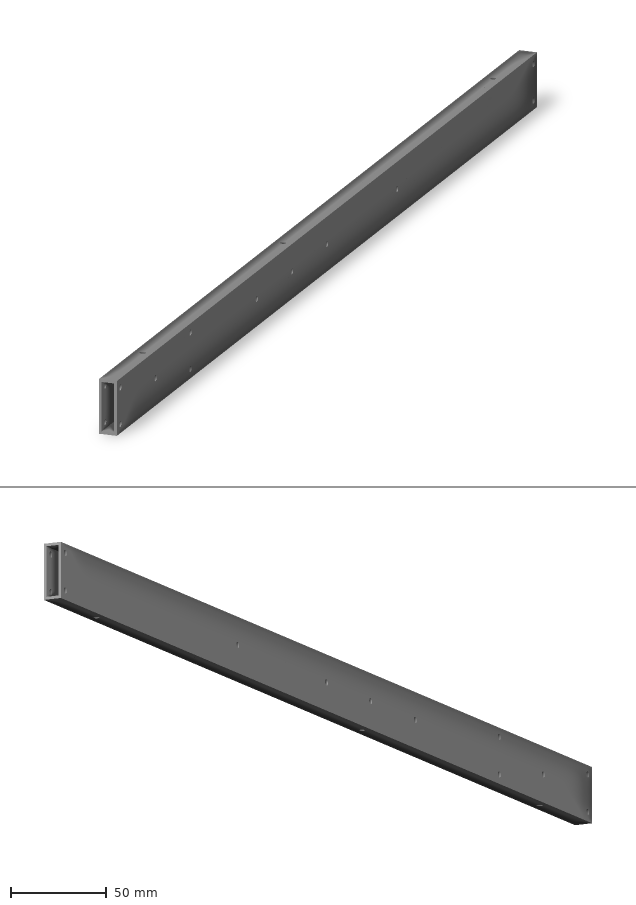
import cadquery as cq

length = 600.0
height = 30.0
width = height / 3
wall = 1.5

hole_diameter = 3.2

end_inset = 5.0
end_hole_y = length / 2 - end_inset
cross_pair_y = -195.0
pair_half_spacing = height / 3
centre_hole_ys = (100.0, 0.0, -50.0, -100.0, -245.0)

top_hole_ys = (250.0, -50.0, -250.0)


def make_tube():
    outer = cq.Workplane("XY").box(width, length, height)
    bore = cq.Workplane("XY").box(width - 2 * wall, length, height - 2 * wall)
    return outer.cut(bore)


def make_side_holes():
    """Cylinders through both side walls: centreline holes and upper/lower pairs."""
    points = [(y, 0.0) for y in centre_hole_ys]
    for y in (end_hole_y, cross_pair_y, -end_hole_y):
        points += [(y, pair_half_spacing), (y, -pair_half_spacing)]
    plane = cq.Workplane("YZ").pushPoints(points)
    return plane.circle(hole_diameter / 2).extrude(width / 2, both=True)


def make_top_holes():
    """Cylinders through the top and bottom walls."""
    plane = cq.Workplane("XY").pushPoints([(0.0, y) for y in top_hole_ys])
    return plane.circle(hole_diameter / 2).extrude(height / 2, both=True)


result = make_tube().cut(make_side_holes()).cut(make_top_holes())